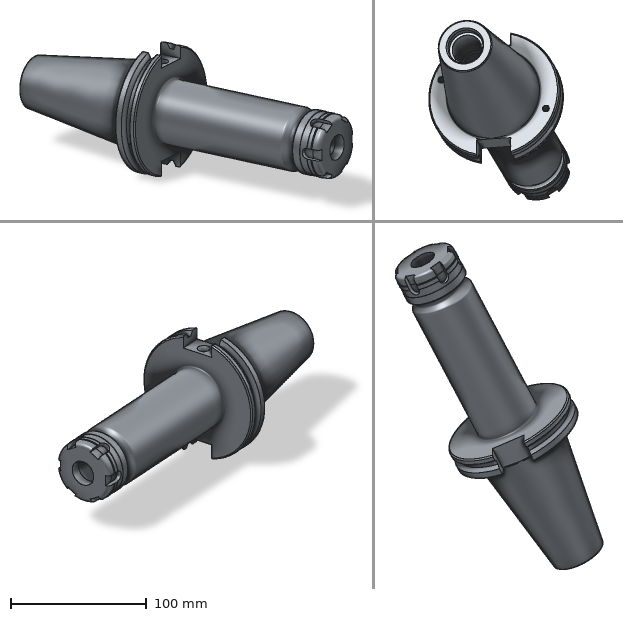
import cadquery as cq
import math

LENGTH = 266.5

TAPER_RATIO = 7 / 24
TAPER_END_X = 101.3
TAPER_SMALL_RADIUS = 40.5 / 2
TAPER_CHAMFER = 0.8

FLANGE_X0 = 103.0
FLANGE_X1 = 120.5
FLANGE_RADIUS = 98.0 / 2
FLANGE_CHAMFER = 1.0
FLANGE_ROOT_FILLET = 1.3
GROOVE_X = 112.5
GROOVE_FLOOR_RADIUS = 45.3
GROOVE_FLOOR_WIDTH = 3.2
GROOVE_FLANK_ANGLE = 30.0

SLOT_WIDTH = 25.5
SLOT_FLOOR_TOP = 37.5
SLOT_FLOOR_BOTTOM = 35.2
DIMPLE_DIAMETER = 9.5
DRILL_POINT_ANGLE = 118.0

COOLANT_ANGLE = 20.0
COOLANT_CIRCLE_RADIUS = 41.9
COOLANT_DIAMETER = 4.3
COOLANT_MOUTH_DIAMETER = 5.0
COOLANT_OUTLET_DIAMETER = 3.2

SHANK_RADIUS = 48.5 / 2
SHANK_ROOT_FILLET = 2.0
SHANK_SHOULDER_X = 232.5
SHOULDER_ROUND = 3.2
SHOULDER_HOLLOW = 1.9
NECK_RADIUS = 40.0 / 2

BORE_RADIUS = 19.2 / 2
BORE_WIDE_RADIUS = 21.9 / 2
BORE_WIDE_END_X = 40.0
SOCKET_RADIUS = 26.0 / 2
SOCKET_DEPTH = 6.7
SOCKET_CHAMFER_RADIAL = 1.0
SOCKET_CHAMFER_LENGTH = 1.9

NUT_X0 = 242.5
NUT_COLLAR_X1 = 249.5
NUT_COLLAR_RADIUS = SHANK_RADIUS
NUT_COLLAR_CHAMFER = 0.8
NUT_RADIUS = 24.0
NUT_BAND_X0 = 255.7
NUT_BAND_X1 = 259.1
NUT_BAND_STEP = 0.8
NUT_NOSE_X = 263.0
NUT_NOSE_RADIUS = 20.5
NUT_RECESS_DEPTH = 16.0
NUT_SLOT_COUNT = 6
NUT_SLOT_WIDTH = 8.3
NUT_SLOT_X = 251.7
NUT_SLOT_FLOOR = 20.3


def revolve_about_x(outline):
    """Turn a closed XY outline once about the X axis."""
    return outline.close().revolve(360, (0, 0, 0), (1, 0, 0))


def rod(x0, x1, radius):
    """Cylinder on the X axis."""
    return cq.Workplane("YZ").workplane(offset=x0).circle(radius).extrude(x1 - x0)


def drill_point(start, direction, diameter):
    """Conical tip that a drill leaves at the bottom of a hole."""
    radius = diameter / 2
    depth = radius / math.tan(math.radians(DRILL_POINT_ANGLE / 2))
    return cq.Solid.makeCone(radius, 0, depth, start, direction)


def holder_blank():
    """Taper, flange, shank and neck as one turned outline."""
    taper_large_radius = TAPER_SMALL_RADIUS + (TAPER_END_X - TAPER_CHAMFER) * TAPER_RATIO / 2
    groove_half_floor = GROOVE_FLOOR_WIDTH / 2
    flank = (FLANGE_RADIUS - GROOVE_FLOOR_RADIUS) * math.tan(math.radians(GROOVE_FLANK_ANGLE))
    groove_half_mouth = groove_half_floor + flank

    half_turn = math.radians(45 / 2)
    s45 = math.sin(math.radians(45))
    round_x = SHANK_SHOULDER_X + SHOULDER_ROUND * s45
    round_radius = SHANK_RADIUS - SHOULDER_ROUND * (1 - s45)
    hollow_radius = NECK_RADIUS + SHOULDER_HOLLOW * (1 - s45)
    hollow_x = round_x + round_radius - hollow_radius
    neck_x = hollow_x + SHOULDER_HOLLOW * s45
    round_mid = (
        SHANK_SHOULDER_X + SHOULDER_ROUND * math.sin(half_turn),
        SHANK_RADIUS - SHOULDER_ROUND * (1 - math.cos(half_turn)),
    )
    hollow_mid = (
        neck_x - SHOULDER_HOLLOW * math.sin(half_turn),
        NECK_RADIUS + SHOULDER_HOLLOW * (1 - math.cos(half_turn)),
    )

    outline = (
        cq.Workplane("XY")
        .moveTo(0, 0)
        .lineTo(0, TAPER_SMALL_RADIUS - TAPER_CHAMFER)
        .lineTo(TAPER_CHAMFER, TAPER_SMALL_RADIUS)
        .lineTo(TAPER_END_X, taper_large_radius)
        .lineTo(FLANGE_X0 - FLANGE_ROOT_FILLET, taper_large_radius)
        .radiusArc((FLANGE_X0, taper_large_radius + FLANGE_ROOT_FILLET), -FLANGE_ROOT_FILLET)
        .lineTo(FLANGE_X0, FLANGE_RADIUS - FLANGE_CHAMFER)
        .lineTo(FLANGE_X0 + FLANGE_CHAMFER, FLANGE_RADIUS)
        .lineTo(GROOVE_X - groove_half_mouth, FLANGE_RADIUS)
        .lineTo(GROOVE_X - groove_half_floor, GROOVE_FLOOR_RADIUS)
        .lineTo(GROOVE_X + groove_half_floor, GROOVE_FLOOR_RADIUS)
        .lineTo(GROOVE_X + groove_half_mouth, FLANGE_RADIUS)
        .lineTo(FLANGE_X1 - FLANGE_CHAMFER, FLANGE_RADIUS)
        .lineTo(FLANGE_X1, FLANGE_RADIUS - FLANGE_CHAMFER)
        .lineTo(FLANGE_X1, SHANK_RADIUS + SHANK_ROOT_FILLET)
        .radiusArc((FLANGE_X1 + SHANK_ROOT_FILLET, SHANK_RADIUS), -SHANK_ROOT_FILLET)
        .lineTo(SHANK_SHOULDER_X, SHANK_RADIUS)
        .threePointArc(round_mid, (round_x, round_radius))
        .lineTo(hollow_x, hollow_radius)
        .threePointArc(hollow_mid, (neck_x, NECK_RADIUS))
        .lineTo(NUT_X0 + NUT_RECESS_DEPTH, NECK_RADIUS)
        .lineTo(NUT_X0 + NUT_RECESS_DEPTH, 0)
    )
    return revolve_about_x(outline)


def holder_bore():
    """Chamfered socket at the taper end, then a through bore that narrows at a 45 degree step."""
    step_length = BORE_WIDE_RADIUS - BORE_RADIUS
    outline = cq.Workplane("XY").polyline([
        (0, 0),
        (0, SOCKET_RADIUS + SOCKET_CHAMFER_RADIAL),
        (SOCKET_CHAMFER_LENGTH, SOCKET_RADIUS),
        (SOCKET_DEPTH, SOCKET_RADIUS),
        (SOCKET_DEPTH, BORE_WIDE_RADIUS),
        (BORE_WIDE_END_X, BORE_WIDE_RADIUS),
        (BORE_WIDE_END_X + step_length, BORE_RADIUS),
        (LENGTH, BORE_RADIUS),
        (LENGTH, 0),
    ])
    return revolve_about_x(outline)


def drive_slot(floor, side):
    """Slot across the flange on the +Z (side = 1) or -Z (side = -1) edge."""
    x0 = FLANGE_X0 - FLANGE_ROOT_FILLET
    depth = FLANGE_RADIUS - floor
    centre = ((x0 + FLANGE_X1) / 2, 0, side * (floor + depth / 2))
    return cq.Workplane("XY").box(FLANGE_X1 - x0, SLOT_WIDTH, depth).translate(centre)


def coolant_hole(angle):
    """Axial hole from the flange face, joined by a radial outlet in the groove floor."""
    radial = cq.Vector(0, math.cos(math.radians(angle)), math.sin(math.radians(angle)))
    mouth = radial * COOLANT_CIRCLE_RADIUS + cq.Vector(FLANGE_X0, 0, 0)
    axial_depth = GROOVE_X + COOLANT_OUTLET_DIAMETER / 2 - FLANGE_X0
    along_x = cq.Vector(1, 0, 0)
    axial = cq.Solid.makeCylinder(COOLANT_DIAMETER / 2, axial_depth, mouth, along_x)
    tip = drill_point(mouth + along_x * axial_depth, along_x, COOLANT_DIAMETER)

    sink_depth = (COOLANT_MOUTH_DIAMETER - COOLANT_DIAMETER) / 2
    sink = cq.Solid.makeCone(
        COOLANT_MOUTH_DIAMETER / 2, COOLANT_DIAMETER / 2, sink_depth, mouth, along_x
    )
    outlet = cq.Solid.makeCylinder(
        COOLANT_OUTLET_DIAMETER / 2,
        FLANGE_RADIUS - COOLANT_CIRCLE_RADIUS,
        radial * COOLANT_CIRCLE_RADIUS + cq.Vector(GROOVE_X, 0, 0),
        radial,
    )
    return axial.fuse(tip, sink, outlet)


def make_holder():
    holder = holder_blank().cut(holder_bore())
    holder = holder.cut(drive_slot(SLOT_FLOOR_TOP, 1))
    holder = holder.cut(drive_slot(SLOT_FLOOR_BOTTOM, -1))
    dimple_start = cq.Vector(GROOVE_X, 0, SLOT_FLOOR_TOP)
    holder = holder.cut(cq.Workplane(drill_point(dimple_start, cq.Vector(0, 0, -1), DIMPLE_DIAMETER)))
    for angle in (COOLANT_ANGLE, COOLANT_ANGLE + 180):
        holder = holder.cut(cq.Workplane(coolant_hole(angle)))
    return holder


def nut_blank():
    """Turned nut outline: collar, body with a raised band, rounded nose."""
    nose_length = LENGTH - NUT_NOSE_X
    nose_drop = NUT_RADIUS - NUT_NOSE_RADIUS
    nose_arc = (nose_length**2 + nose_drop**2) / (2 * nose_drop)
    outline = (
        cq.Workplane("XY")
        .moveTo(NUT_X0, 0)
        .lineTo(NUT_X0, NUT_COLLAR_RADIUS - NUT_COLLAR_CHAMFER)
        .lineTo(NUT_X0 + NUT_COLLAR_CHAMFER, NUT_COLLAR_RADIUS)
        .lineTo(NUT_COLLAR_X1, NUT_COLLAR_RADIUS)
        .lineTo(NUT_COLLAR_X1, NUT_RADIUS)
        .lineTo(NUT_BAND_X0, NUT_RADIUS)
        .lineTo(NUT_BAND_X0, NUT_COLLAR_RADIUS)
        .lineTo(NUT_BAND_X1, NUT_COLLAR_RADIUS)
        .lineTo(NUT_BAND_X1 + NUT_BAND_STEP, NUT_RADIUS)
        .lineTo(NUT_NOSE_X, NUT_RADIUS)
        .radiusArc((LENGTH, NUT_NOSE_RADIUS), nose_arc)
        .lineTo(LENGTH, 0)
    )
    return revolve_about_x(outline)


def nut_slot(angle):
    """Round-ended spanner slot, open at the nose, turned about X from the -Y side."""
    half_width = NUT_SLOT_WIDTH / 2
    straight_x = NUT_SLOT_X + half_width
    height = NUT_COLLAR_RADIUS - NUT_SLOT_FLOOR + half_width
    slot = (
        cq.Workplane("XZ", origin=(0, -NUT_SLOT_FLOOR, 0))
        .moveTo(LENGTH, -half_width)
        .lineTo(straight_x, -half_width)
        .threePointArc((NUT_SLOT_X, 0), (straight_x, half_width))
        .lineTo(LENGTH, half_width)
        .close()
        .extrude(height)
    )
    return slot.rotate((0, 0, 0), (1, 0, 0), angle)


def make_nut():
    nut = nut_blank()
    nut = nut.cut(rod(NUT_X0, NUT_X0 + NUT_RECESS_DEPTH, NECK_RADIUS))
    nut = nut.cut(rod(NUT_X0, LENGTH, BORE_RADIUS))
    for index in range(NUT_SLOT_COUNT):
        nut = nut.cut(nut_slot(index * 360 / NUT_SLOT_COUNT))
    return nut


holder = make_holder()
nut = make_nut()
result = cq.Compound.makeCompound([holder.val(), nut.val()])